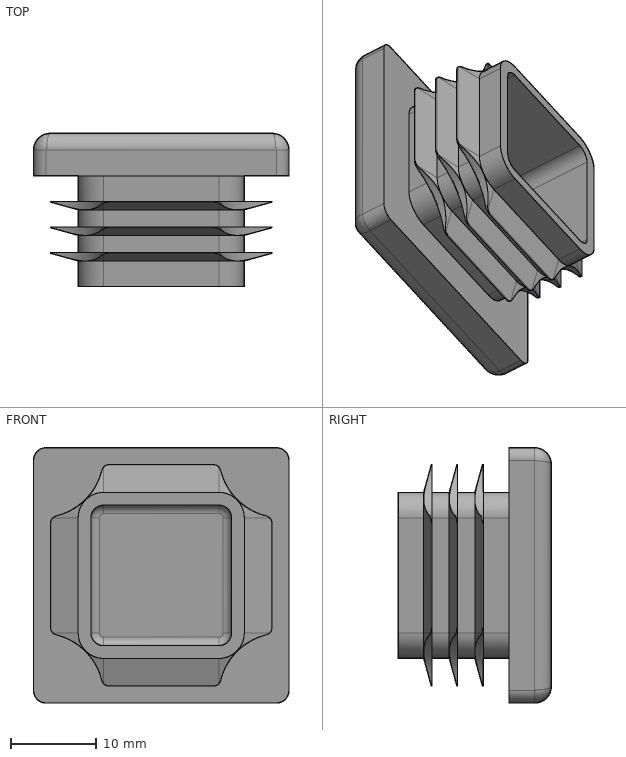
import cadquery as cq


cap_size = 30.0
cap_thickness = 5.0
cap_corner_radius = 1.5
cap_edge_radius = 2.0

stem_size = 19.5
stem_length = 13.0
stem_corner_radius = 3.0
wall = 1.5

pocket_size = stem_size - 2 * wall
pocket_corner_radius = stem_corner_radius - wall
pocket_floor_radius = 1.0

fin_count = 3
fin_pitch = 3.0
fin_size = 26.0
fin_root_thickness = 1.0
fin_tip_thickness = 0.1
fin_tip_radius = 0.1
fin_blank_radius = stem_corner_radius + (fin_size - stem_size) / 2

relief_radius = 7.3
relief_reach = 8.9
relief_centre = relief_reach + relief_radius / 2**0.5
relief_end_radius = 0.9


def square_block(size, y_start, y_end):
    """Square prism centred on the Y axis between two Y positions."""
    return (
        cq.Workplane("XZ", origin=(0, y_start, 0))
        .rect(size, size)
        .extrude(y_start - y_end)
    )


def rounded_block(size, corner_radius, y_start, y_end):
    """Square prism with rounded edges along Y."""
    return square_block(size, y_start, y_end).edges("|Y").fillet(corner_radius)


def make_cap():
    """Square plate with its outer face rounded over and its corners softened."""
    plate = square_block(cap_size, 0, cap_thickness)
    plate = plate.faces(">Y").edges().fillet(cap_edge_radius)
    return plate.edges("|Y").fillet(cap_corner_radius)


def make_pocket():
    """Blind square pocket, open at the end of the stem and rounded at its floor."""
    pocket = rounded_block(pocket_size, pocket_corner_radius, -stem_length, 0)
    return pocket.faces(">Y").edges().fillet(pocket_floor_radius)


def make_fin_blank(y_flat):
    """Fin before relief: flat toward the cap, tapering from the stem out to a thin rounded tip."""
    y_tip = y_flat - fin_tip_thickness
    y_root = y_flat - fin_root_thickness
    tip = rounded_block(fin_size, fin_blank_radius, y_flat, y_tip)
    core = rounded_block(stem_size, stem_corner_radius, y_flat, y_root)
    tip_wire = tip.faces("<Y").wires().val()
    root_wire = core.faces("<Y").wires().val()
    taper = cq.Solid.makeLoft([tip_wire, root_wire], True)
    blank = tip.union(cq.Workplane(taper))
    return blank.edges(">>Y[-3]").fillet(fin_tip_radius)


def make_fin_outline(y_flat):
    """Prism with the fin's outline: a square with a concave arc across each corner."""
    reliefs = (
        cq.Workplane("XZ", origin=(0, y_flat, 0))
        .rect(2 * relief_centre, 2 * relief_centre, forConstruction=True)
        .vertices()
        .circle(relief_radius)
        .extrude(fin_root_thickness)
    )
    outline = square_block(fin_size, y_flat, y_flat - fin_root_thickness).cut(reliefs)
    return outline.edges("|Y").fillet(relief_end_radius)


def make_fin(y_flat):
    """Finished fin whose flat face lies at the given Y position."""
    return make_fin_blank(y_flat).intersect(make_fin_outline(y_flat))


stem = rounded_block(stem_size, stem_corner_radius, 0, -stem_length)
result = make_cap().union(stem)
for fin_number in range(1, fin_count + 1):
    result = result.union(make_fin(-fin_number * fin_pitch))
result = result.cut(make_pocket())